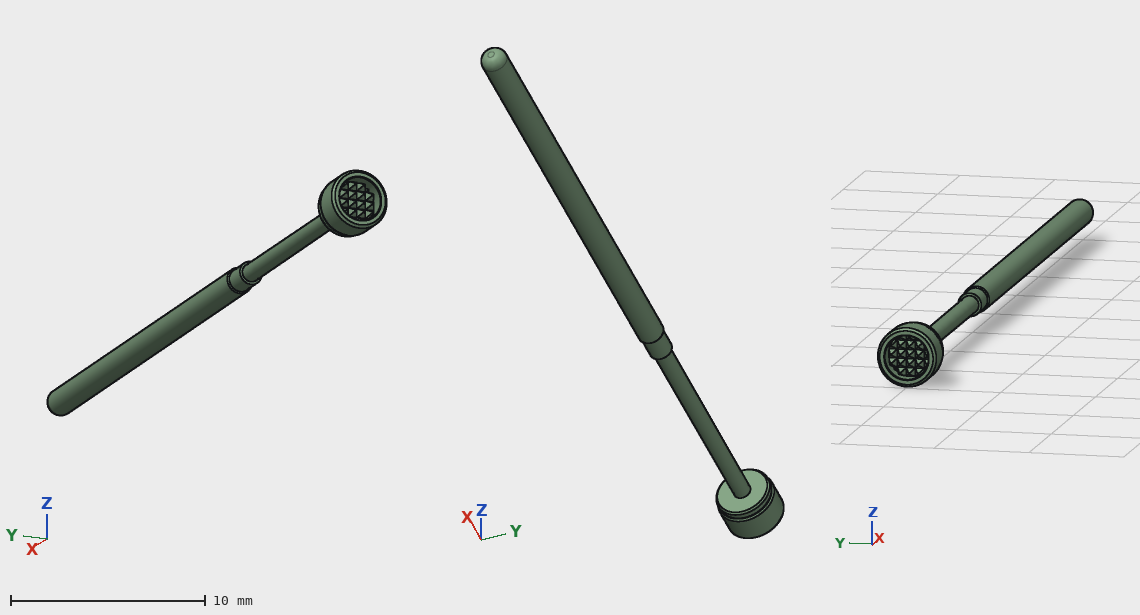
import cadquery as cq
import math

total_length = 39.62

head_diameter = 3.1
head_length = 2.15
head_front_chamfer = 0.14
head_rear_chamfer = 0.1
rear_lip_diameter = 2.95
rear_lip_length = 0.45
lip_chamfer = 0.1

cup_diameter = 2.3
cup_mouth_diameter = 2.38
cup_depth = 1.0

tooth_pitch = 0.48
tooth_height = 0.48

shaft_head_diameter = 0.9
shaft_barrel_diameter = 0.95

collar_start = 14.25
collar_diameter = 1.23
barrel_start = 15.73
barrel_diameter = 1.4
barrel_lead_in = (barrel_diameter - collar_diameter) / 2
tip_radius = 0.5


def cylinder(diameter, start, end):
    """Cylinder on the X axis between two X positions."""
    return cq.Workplane("YZ").workplane(offset=start).circle(diameter / 2).extrude(end - start)


def cone(start_diameter, end_diameter, start, end):
    """Cone frustum on the X axis between two X positions."""
    profile = [
        (start, 0),
        (start, start_diameter / 2),
        (end, end_diameter / 2),
        (end, 0),
    ]
    return cq.Workplane("XY").polyline(profile).close().revolve(360, (0, 0, 0), (1, 0, 0))


def make_head():
    """Round head with chamfered ends, a smaller rear lip and an open cup in front."""
    lip_start = head_length - rear_lip_length
    body = cylinder(head_diameter, 0, lip_start)
    body = body.faces("<X").chamfer(head_front_chamfer)
    body = body.faces(">X").chamfer(head_rear_chamfer)
    lip = cylinder(rear_lip_diameter, lip_start, head_length)
    lip = lip.faces(">X").chamfer(lip_chamfer)
    cup = cylinder(cup_diameter, 0, cup_depth)
    mouth_depth = (cup_mouth_diameter - cup_diameter) / 2
    mouth = cone(cup_mouth_diameter, cup_diameter, 0, mouth_depth)
    return body.union(lip).cut(cup).cut(mouth)


def make_teeth():
    """Square grid of pyramids, trimmed round, with a root that fuses it to the cup floor."""
    steps = math.ceil(cup_diameter / 2 / tooth_pitch)
    tip_plane = cup_depth - tooth_height
    block = cylinder(cup_diameter, tip_plane, cup_depth)
    half_pitch = tooth_pitch / 2
    groove_profile = [
        (tip_plane, -half_pitch),
        (cup_depth, 0),
        (tip_plane, half_pitch),
    ]
    groove = cq.Workplane("XY").polyline(groove_profile).close().extrude(cup_diameter / 2, both=True)
    for index in range(-steps, steps):
        offset = (index + 0.5) * tooth_pitch
        upright_groove = groove.translate((0, offset, 0))
        block = block.cut(upright_groove)
        block = block.cut(upright_groove.rotate((0, 0, 0), (1, 0, 0), 90))
    root = cylinder(cup_diameter, cup_depth, head_length)
    return root.union(block)


def make_shaft():
    """Gently tapered plunger shaft between the head and the collar."""
    return cone(shaft_head_diameter, shaft_barrel_diameter, head_length, collar_start)


def make_barrel():
    """Collar, short lead-in cone and long barrel with a rounded tip."""
    collar = cylinder(collar_diameter, collar_start, barrel_start - barrel_lead_in)
    lead_in = cone(collar_diameter, barrel_diameter, barrel_start - barrel_lead_in, barrel_start)
    barrel = cylinder(barrel_diameter, barrel_start, total_length)
    barrel = barrel.faces(">X").edges().fillet(tip_radius)
    return collar.union(lead_in).union(barrel)


result = make_head().union(make_teeth()).union(make_shaft()).union(make_barrel())